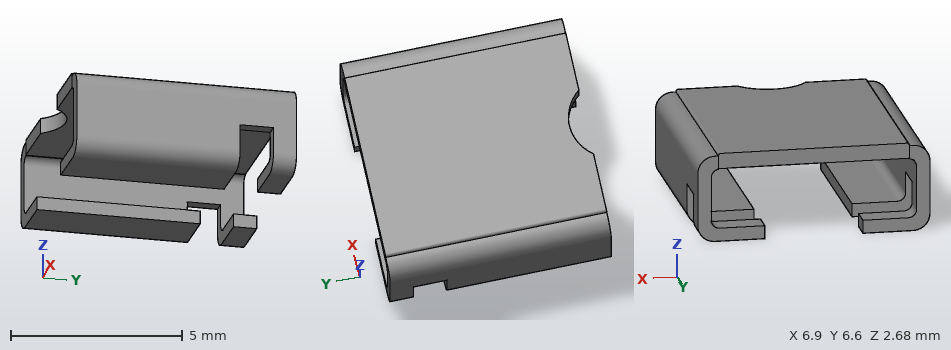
import cadquery as cq

width = 6.9
depth = 6.6
height = 2.68

rail_height = 2.6
wall = 0.4
outer_radius = 0.505
inner_radius = 0.25
lip_length = 1.995

slot_width = 1.0
slot_back_offset = 0.7
slot_height = 1.275

rail_top_width = 0.61
plate_thickness = 0.46
plate_edge_radius = height - rail_height
plate_width = width - 2 * rail_top_width

notch_width = 2.02
notch_depth = 0.505


def make_rail(side):
    """Rail on the -X side (side = -1) or the +X side (side = 1)."""
    outer_x = side * width / 2
    lip_end_x = side * (width / 2 - lip_length)

    rail = (
        cq.Workplane("XY")
        .box(lip_length, depth, rail_height, centered=(True, True, False))
        .translate(((outer_x + lip_end_x) / 2, 0, 0))
    )
    outer_side = "<X" if side < 0 else ">X"
    rail = rail.faces(outer_side).edges("|Y").fillet(outer_radius)

    channel = (
        cq.Workplane("XY")
        .box(width - 2 * wall, depth, rail_height - 2 * wall, centered=(True, True, False))
        .edges("|Y")
        .fillet(inner_radius)
        .translate((0, 0, wall))
    )
    rail = rail.cut(channel)

    plate_space = (
        cq.Workplane("XY")
        .box(plate_width, depth, rail_height, centered=(True, True, False))
        .translate((0, 0, rail_height / 2))
    )
    rail = rail.cut(plate_space)

    slot_center_y = depth / 2 - slot_back_offset - slot_width / 2
    slot = (
        cq.Workplane("XY")
        .box(width, slot_width, slot_height, centered=(True, True, False))
        .translate((0, slot_center_y, 0))
    )
    return rail.cut(slot)


def make_plate():
    """Flat cover plate with rounded upper side edges and a front notch."""
    plate = (
        cq.Workplane("XY")
        .box(plate_width, depth, plate_thickness, centered=(True, True, False))
        .translate((0, 0, height - plate_thickness))
        .faces(">Z")
        .edges("|Y")
        .fillet(plate_edge_radius)
    )
    notch_radius = ((notch_width / 2) ** 2 + notch_depth**2) / (2 * notch_depth)
    notch_center_y = -depth / 2 + notch_depth - notch_radius
    notch = cq.Workplane("XY").center(0, notch_center_y).circle(notch_radius).extrude(height)
    return plate.cut(notch)


rails = [make_rail(side) for side in (-1, 1)]
plate = make_plate()

result = cq.Compound.makeCompound([plate.val(), *[rail.val() for rail in rails]])